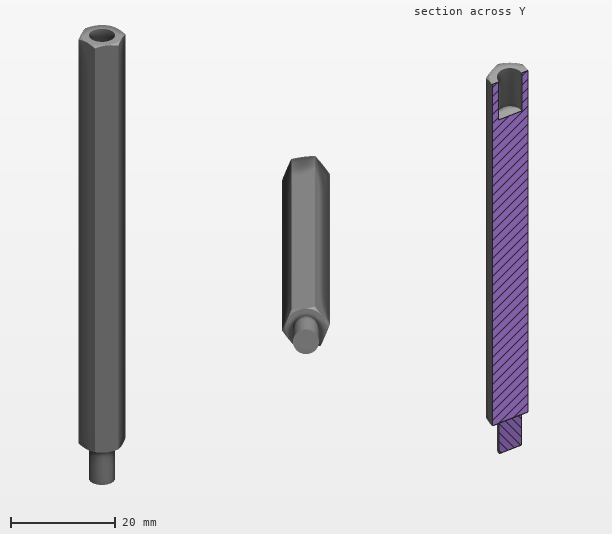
import cadquery as cq
import math

across_flats = 8.0
hex_sides = 6
half_side_angle = 180.0 / hex_sides
across_corners = across_flats / math.cos(math.radians(half_side_angle))
spacer_length = 90.0
thread_diameter = 5.0
stud_length = 8.0
bore_depth = 10.0

corner_chamfer_angle = 30.0
chamfer_width = (across_corners - across_flats) / 2
chamfer_height = chamfer_width * math.tan(math.radians(corner_chamfer_angle))


def turned_envelope():
    """Round bar over the hex corners, coned at both ends to the across-flats circle."""
    end_radius = across_flats / 2
    corner_radius = across_corners / 2
    return (
        cq.Workplane("XZ")
        .moveTo(0, 0)
        .lineTo(end_radius, 0)
        .lineTo(corner_radius, chamfer_height)
        .lineTo(corner_radius, spacer_length - chamfer_height)
        .lineTo(end_radius, spacer_length)
        .lineTo(0, spacer_length)
        .close()
        .revolve(360, (0, 0, 0), (0, 1, 0))
    )


def make_spacer():
    """Hex bar with flats facing +X and -X, chamfered corners and a blind bore in its top."""
    hex_bar = (
        cq.Workplane("XY")
        .polygon(hex_sides, across_corners)
        .extrude(spacer_length)
        .rotate((0, 0, 0), (0, 0, 1), half_side_angle)
    )
    chamfered_bar = hex_bar.intersect(turned_envelope())
    bore = (
        cq.Workplane("XY", origin=(0, 0, spacer_length))
        .circle(thread_diameter / 2)
        .extrude(-bore_depth)
    )
    return chamfered_bar.cut(bore)


def make_stud():
    """Plain round stud that meets the bottom face of the spacer."""
    return cq.Workplane("XY").circle(thread_diameter / 2).extrude(-stud_length)


spacer = make_spacer()
stud = make_stud()

result = cq.Compound.makeCompound([spacer.solids().val(), stud.val()])